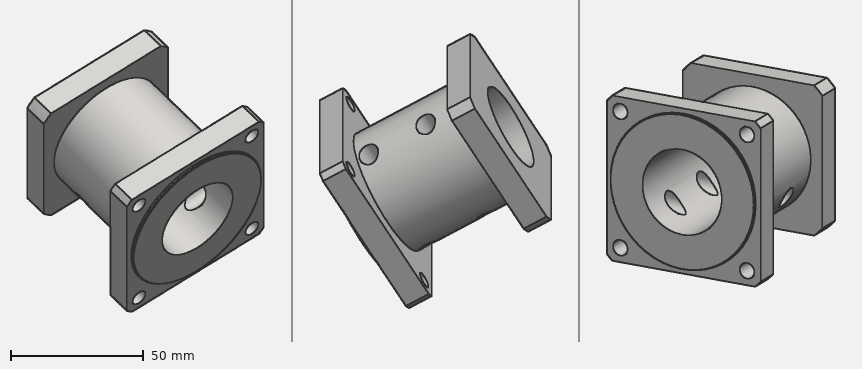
import cadquery as cq

total_length = 65.2
flange_thickness = 10.0
spigot_length = 1.2
large_flange_x = total_length - spigot_length - flange_thickness

small_flange_side = 60.0
small_flange_corner_diameter = 80.0
large_flange_side = 66.0
large_flange_corner_diameter = 90.0

tube_diameter = 50.0
bore_diameter = 34.0
spigot_diameter = 62.0
spigot_chamfer = 0.3

mount_hole_diameter = 6.2
mount_hole_offset = 27.2

cross_hole_diameter = 8.0
cross_hole_positions = (24.0, 49.0)
cross_hole_z = -11.2


def cylinder(diameter, start_x, length):
    """Cylinder on the main axis."""
    return cq.Workplane("YZ", origin=(start_x, 0, 0)).circle(diameter / 2).extrude(length)


def flange(side, corner_diameter, start_x):
    """Square plate with its corners trimmed by a large cylinder."""
    plate = cq.Workplane("YZ", origin=(start_x, 0, 0)).rect(side, side).extrude(flange_thickness)
    return plate.intersect(cylinder(corner_diameter, start_x, flange_thickness))


def mount_holes():
    spacing = 2 * mount_hole_offset
    return (
        cq.Workplane("YZ", origin=(large_flange_x, 0, 0))
        .rect(spacing, spacing, forConstruction=True)
        .vertices()
        .circle(mount_hole_diameter / 2)
        .extrude(flange_thickness + spigot_length)
    )


def cross_holes():
    return (
        cq.Workplane("XZ")
        .pushPoints([(x, cross_hole_z) for x in cross_hole_positions])
        .circle(cross_hole_diameter / 2)
        .extrude(tube_diameter / 2, both=True)
    )


small_flange = flange(small_flange_side, small_flange_corner_diameter, 0)
large_flange = flange(large_flange_side, large_flange_corner_diameter, large_flange_x)
tube = cylinder(tube_diameter, 0, large_flange_x + flange_thickness)
spigot = cylinder(spigot_diameter, large_flange_x + flange_thickness, spigot_length)
spigot = spigot.faces(">X").edges().chamfer(spigot_chamfer)

body = small_flange.union(tube).union(large_flange).union(spigot)
body = body.cut(cylinder(bore_diameter, 0, total_length))
result = body.cut(mount_holes()).cut(cross_holes())